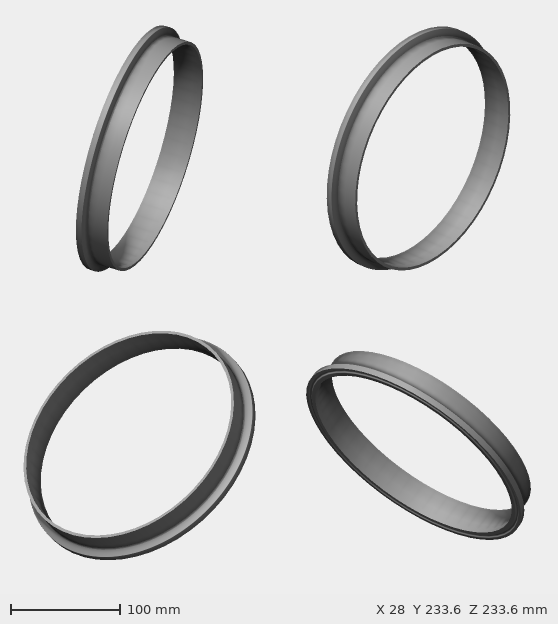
import cadquery as cq
import math

length = 28.0
flange_radius = 116.8
tube_radius = 109.5
bore_radius = 106.7

neck_end = 9.3
neck_fillet = 1.5
rim_fillet = 0.5
taper_angle = math.radians(20)
pick_tolerance = 0.2

groove_radius = 112.3
groove_bottom = 1.2
groove_lip = 1.0
groove_wall_angle = math.radians(70)


def arc_point(center, radius, angle):
    """Point on a circle in the (axial, radial) plane."""
    return (center[0] + radius * math.cos(angle), center[1] + radius * math.sin(angle))


def make_body():
    """Tube and tapered clamp flange, revolved about X."""
    taper_turn = math.pi / 2 - taper_angle
    neck_corner = neck_end - neck_fillet * math.tan(taper_turn / 2)
    rim_width = neck_corner - (flange_radius - tube_radius) * math.tan(taper_angle)
    body = (
        cq.Workplane("XZ")
        .moveTo(0, bore_radius)
        .lineTo(0, flange_radius)
        .lineTo(rim_width, flange_radius)
        .lineTo(neck_corner, tube_radius)
        .lineTo(length, tube_radius)
        .lineTo(length, bore_radius)
        .close()
        .revolve(360, (0, 0, 0), (1, 0, 0))
    )

    def circle_at(x):
        return cq.selectors.BoxSelector(
            (x - pick_tolerance, -flange_radius, -flange_radius),
            (x + pick_tolerance, flange_radius, flange_radius),
        )

    body = body.edges(circle_at(neck_corner)).fillet(neck_fillet)
    return body.edges(circle_at(rim_width)).fillet(rim_fillet)


def make_groove():
    """Ring with a rounded bottom and rounded lips."""
    centre_distance = groove_bottom + groove_lip
    lip_offset = centre_distance * math.sin(groove_wall_angle)
    bottom_center = (groove_lip - centre_distance * math.cos(groove_wall_angle), groove_radius)
    inner_center = (groove_lip, groove_radius - lip_offset)
    outer_center = (groove_lip, groove_radius + lip_offset)
    half_wall = groove_wall_angle / 2
    return (
        cq.Workplane("XZ")
        .moveTo(0, inner_center[1])
        .threePointArc(
            arc_point(inner_center, groove_lip, math.pi - half_wall),
            arc_point(bottom_center, groove_bottom, -groove_wall_angle),
        )
        .threePointArc(
            arc_point(bottom_center, groove_bottom, 0),
            arc_point(bottom_center, groove_bottom, groove_wall_angle),
        )
        .threePointArc(
            arc_point(outer_center, groove_lip, math.pi + half_wall),
            (0, outer_center[1]),
        )
        .close()
        .revolve(360, (0, 0, 0), (1, 0, 0))
    )


result = make_body().cut(make_groove())